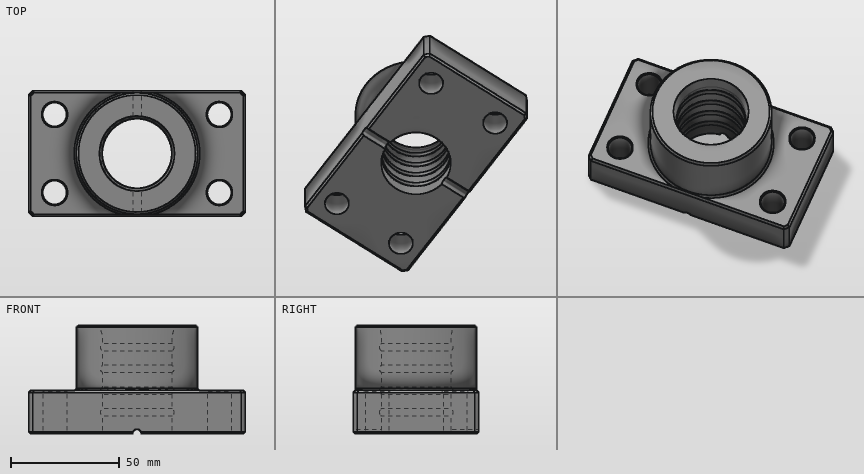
import cadquery as cq
import math

plate_length = 100
plate_width = 58
plate_height = 20
corner_chamfer = 2
edge_chamfer = 1

total_height = 50
boss_radius = 28
boss_chamfer = 1
boss_root_fillet = 1

bore_radius = 16
lead_in_depth = 5
lead_in_angle = 15

ring_groove_count = 4
ring_groove_radius = 2
ring_groove_depth = 1

hole_radius = 5.5
hole_chamfer = 0.5
hole_spacing_x = 76
hole_spacing_y = 36

channel_radius = 2


def make_plate():
    plate = cq.Workplane("XY").box(plate_length, plate_width, plate_height, centered=(True, True, False))
    plate = plate.edges("|Z").chamfer(corner_chamfer)
    return plate.faces("<Z or >Z").edges().chamfer(edge_chamfer)


def make_boss():
    """Boss with a chamfered rim and a root fillet trimmed to the flat top of the plate."""
    root_radius = boss_radius + boss_root_fillet
    root_top = plate_height + boss_root_fillet
    arc_inset = boss_root_fillet * (1 - math.sqrt(0.5))
    boss = (
        cq.Workplane("XZ")
        .moveTo(0, plate_height - edge_chamfer)
        .lineTo(root_radius, plate_height - edge_chamfer)
        .lineTo(root_radius, plate_height)
        .threePointArc((boss_radius + arc_inset, plate_height + arc_inset), (boss_radius, root_top))
        .lineTo(boss_radius, total_height - boss_chamfer)
        .lineTo(boss_radius - boss_chamfer, total_height)
        .lineTo(0, total_height)
        .close()
        .revolve(360, (0, 0, 0), (0, 1, 0))
    )
    flat_top_width = plate_width - 2 * edge_chamfer
    trim = cq.Workplane("XY").box(plate_length, flat_top_width, total_height, centered=(True, True, False))
    return boss.intersect(trim)


def make_bore():
    """Through bore that flares outward over the lead-in depth at the top."""
    mouth_radius = bore_radius + lead_in_depth * math.tan(math.radians(lead_in_angle))
    return (
        cq.Workplane("XZ")
        .lineTo(bore_radius, 0)
        .lineTo(bore_radius, total_height - lead_in_depth)
        .lineTo(mouth_radius, total_height)
        .lineTo(0, total_height)
        .close()
        .revolve(360, (0, 0, 0), (0, 1, 0))
    )


def make_ring_groove(height):
    section_center = bore_radius + ring_groove_depth - ring_groove_radius
    return (
        cq.Workplane("XZ")
        .center(section_center, height)
        .circle(ring_groove_radius)
        .revolve(360, (-section_center, 0, 0), (-section_center, 1, 0))
    )


def make_mounting_holes():
    """Four through holes, chamfered at the top of the plate."""
    holes = (
        cq.Workplane("XY")
        .rect(hole_spacing_x, hole_spacing_y, forConstruction=True)
        .vertices()
        .circle(hole_radius)
        .extrude(plate_height)
    )
    countersinks = (
        cq.Workplane("XY")
        .workplane(offset=plate_height)
        .rect(hole_spacing_x, hole_spacing_y, forConstruction=True)
        .vertices()
        .eachpoint(make_countersink(), combine=False)
    )
    return holes.union(countersinks)


def make_countersink():
    rim_radius = hole_radius + hole_chamfer
    return cq.Solid.makeCone(hole_radius, rim_radius, hole_chamfer, pnt=cq.Vector(0, 0, -hole_chamfer))


def make_channel():
    return cq.Workplane("XZ").circle(channel_radius).extrude(plate_width / 2, both=True)


result = make_plate().union(make_boss())
result = result.cut(make_bore())

ring_groove_pitch = total_height / (ring_groove_count + 1)
for groove_number in range(1, ring_groove_count + 1):
    result = result.cut(make_ring_groove(groove_number * ring_groove_pitch))

result = result.cut(make_mounting_holes())
result = result.cut(make_channel())